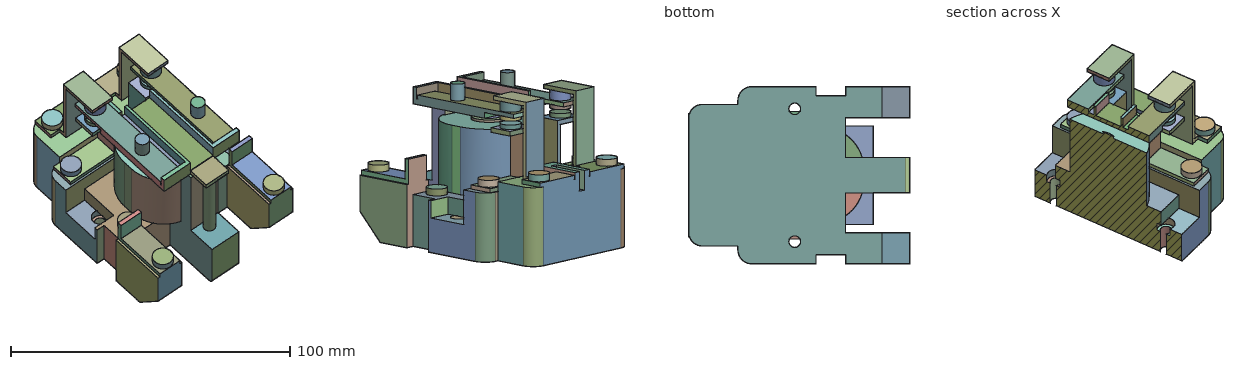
import cadquery as cq


LENGTH = 79.25
WIDTH = 63.5
HEIGHT = 58.67

CORNER_RADIUS = 5.08
FRONT_END_X = 17.6
FRONT_WIDTH = 50.8
FRONT_TOP = 28.95
SHELF_END_X = 28.4
SHELF_TOP = 25.4
DECK_TOP = 19.05
WIDE_END_X = 45.7
DECK_END_X = 56.2
DECK_WIDTH = 57.0
TAIL_WIDTH = 12.7
TAIL_BOTTOM_RADIUS = 1.6

RIB_WIDTH = 7.7
RIB_TOP = 31.5
SLOT_LENGTH = 13.9
SLOT_WIDTH = 2.6
SLOT_BOTTOM = 24.3

POCKET_END_X = 44.4
POCKET_INNER_Y = 22.85
POCKET_FLOOR = 12.7
HOLE_X = 38.0
HOLE_Y = 23.75
HOLE_RADIUS = 2.05
COUNTERBORE_RADIUS = 3.2
COUNTERBORE_DEPTH = 3.0

TERMINAL_INNER_Y = 20.5
TERMINAL_TOP = 23.2
TERMINAL_CHAMFER = 10.0
TERMINAL_PLATE_MARGIN = 0.9
TERMINAL_PLATE_THICKNESS = 1.7
TERMINAL_TAB_TOP = 32.35

SCREW_RADIUS = 3.81
SCREW_HEIGHT = 2.5
FRONT_SCREW_X = 4.55
FRONT_SCREW_Y = 17.75
SHELF_SCREW_Y = 24.6
DECK_SCREW_X = 50.95
DECK_SCREW_Y = 21.65
TERMINAL_SCREW_X = 75.3

COIL_X = 45.6
COIL_SIZE = 34.4
COIL_CORNER_RADIUS = 15.2
COIL_TOP = 43.9
WASHER_RADIUS = 6.45
WASHER_TOP = 44.8
CORE_RADIUS = 3.95
CORE_TOP = 45.95

CONTACT_X = 22.85
CONTACT_Y = 13.1
CONTACT_RADIUS = 3.85
STRIP_THICKNESS = 1.5

UPPER_PLATE_INNER_Y = 4.05
UPPER_PLATE_OUTER_Y = 22.05
UPPER_PLATE_LENGTH = 8.8
UPPER_STRIP_WIDTH = 9.45
UPPER_WALL_X = 10.75
UPPER_STRIP_END_X = 26.75
UPPER_BASE_TOP = 30.55
UPPER_TOP = 57.9

LOWER_WIDTH = 9.45
LOWER_INNER_Y = 6.6
LOWER_CAP_OUTER_Y = 18.35
LOWER_BASE_OUTER_Y = 28.8
LOWER_TOP = 46.2
LOWER_CAP_THICKNESS = 1.7
LOWER_CONTACT_HEIGHT = 1.65

ARMATURE_START_X = 31.2
ARMATURE_END_X = 66.2
ARMATURE_BOTTOM = 49.0
ARMATURE_FLOOR = 51.05
ARMATURE_WALL_TOP = 55.3
ARMATURE_END_WALL = 1.7
RIDGE_INNER_Y = 5.3
RIDGE_OUTER_Y = 6.4
TONGUE_END_X = 74.8
TONGUE_TOP = 50.75

ARM_START_X = 17.0
ARM_END_X = 64.1
ARM_WIDTH = 9.2
MOVING_CONTACT_BOTTOM = 49.3
MOVING_CONTACT_TOP = 54.45
PIN_X = 48.75
PIN_RADIUS = 2.6

POST_START_X = 61.3
POST_END_X = 67.6
PILLAR_X = 70.4
PILLAR_RADIUS = 2.3


def block(x_range, y_range, z_range):
    """Axis-aligned block between the given limits."""
    (x0, x1), (y0, y1), (z0, z1) = x_range, y_range, z_range
    return cq.Workplane("XY").box(x1 - x0, y1 - y0, z1 - z0, centered=False).translate((x0, y0, z0))


def centred_block(x_range, width, z_range):
    """Block of the given width, centred on y = 0."""
    return block(x_range, (-width / 2, width / 2), z_range)


def disc(x, y, radius, z_range):
    """Upright cylinder between two heights."""
    bottom, top = z_range
    return cq.Workplane("XY", origin=(x, y, bottom)).circle(radius).extrude(top - bottom)


def screw_head(x, y, seat):
    return disc(x, y, SCREW_RADIUS, (seat, seat + SCREW_HEIGHT))


def make_base():
    front = centred_block((0, FRONT_END_X), FRONT_WIDTH, (0, FRONT_TOP))
    front = front.edges("|Z and <X").fillet(CORNER_RADIUS)
    shelf = centred_block((FRONT_END_X, SHELF_END_X), WIDTH, (0, SHELF_TOP))
    shelf = shelf.edges("|Z and <X").fillet(CORNER_RADIUS)
    wide_deck = centred_block((SHELF_END_X, WIDE_END_X), WIDTH, (0, DECK_TOP))
    deck = centred_block((WIDE_END_X, DECK_END_X), DECK_WIDTH, (0, DECK_TOP))
    tail = centred_block((DECK_END_X, LENGTH), TAIL_WIDTH, (0, DECK_TOP))
    tail = tail.edges(">X and <Z").fillet(TAIL_BOTTOM_RADIUS)
    rib = centred_block((0, FRONT_END_X), RIB_WIDTH, (FRONT_TOP, RIB_TOP))
    slot = centred_block((0, SLOT_LENGTH), SLOT_WIDTH, (SLOT_BOTTOM, RIB_TOP))
    return front.union(shelf).union(wide_deck).union(deck).union(tail).union(rib).cut(slot)


def make_mounting_cut():
    """Pocket open to the +Y side, with a counterbored hole in its floor."""
    pocket = block((SHELF_END_X, POCKET_END_X), (POCKET_INNER_Y, WIDTH / 2), (POCKET_FLOOR, DECK_TOP))
    hole = disc(HOLE_X, HOLE_Y, HOLE_RADIUS, (0, POCKET_FLOOR))
    counterbore = disc(
        HOLE_X, HOLE_Y, COUNTERBORE_RADIUS, (POCKET_FLOOR - COUNTERBORE_DEPTH, POCKET_FLOOR)
    )
    return pocket.union(hole).union(counterbore)


def make_coil_terminal():
    x_range = (DECK_END_X, LENGTH)
    body = block(x_range, (TERMINAL_INNER_Y, WIDTH / 2), (0, TERMINAL_TOP))
    body = body.edges(">X and <Z").chamfer(TERMINAL_CHAMFER)

    plate_y = (TERMINAL_INNER_Y + TERMINAL_PLATE_MARGIN, WIDTH / 2 - TERMINAL_PLATE_MARGIN)
    plate_top = TERMINAL_TOP + TERMINAL_PLATE_THICKNESS
    plate = block(x_range, plate_y, (TERMINAL_TOP, plate_top))
    tab_x = (DECK_END_X, DECK_END_X + TERMINAL_PLATE_THICKNESS)
    tab = block(tab_x, plate_y, (TERMINAL_TOP, TERMINAL_TAB_TOP))
    screw = screw_head(TERMINAL_SCREW_X, (TERMINAL_INNER_Y + WIDTH / 2) / 2, plate_top)
    return body.union(plate).union(tab).union(screw)


def make_upper_contact():
    """Fixed contact on a strip rising from the front block and bent over rearward."""
    strip_y = (CONTACT_Y - UPPER_STRIP_WIDTH / 2, CONTACT_Y + UPPER_STRIP_WIDTH / 2)
    wall_end_x = UPPER_WALL_X + STRIP_THICKNESS
    arm_bottom = UPPER_TOP - STRIP_THICKNESS
    plate = block(
        (0, UPPER_PLATE_LENGTH), (UPPER_PLATE_INNER_Y, UPPER_PLATE_OUTER_Y), (FRONT_TOP, UPPER_BASE_TOP)
    )
    foot = block((UPPER_PLATE_LENGTH, wall_end_x), strip_y, (FRONT_TOP, UPPER_BASE_TOP))
    wall = block((UPPER_WALL_X, wall_end_x), strip_y, (FRONT_TOP, UPPER_TOP))
    arm = block((UPPER_WALL_X, UPPER_STRIP_END_X), strip_y, (arm_bottom, UPPER_TOP))
    contact = disc(CONTACT_X, CONTACT_Y, CONTACT_RADIUS, (MOVING_CONTACT_TOP, arm_bottom))
    screw = screw_head(FRONT_SCREW_X, FRONT_SCREW_Y, UPPER_BASE_TOP)
    return plate.union(foot).union(wall).union(arm).union(contact).union(screw)


def make_lower_contact():
    """Fixed contact on a C-shaped bracket standing on the shelf."""
    x_range = (CONTACT_X - LOWER_WIDTH / 2, CONTACT_X + LOWER_WIDTH / 2)
    base_top = SHELF_TOP + STRIP_THICKNESS
    base = block(x_range, (LOWER_INNER_Y, LOWER_BASE_OUTER_Y), (SHELF_TOP, base_top))
    wall = block(x_range, (LOWER_INNER_Y, LOWER_INNER_Y + STRIP_THICKNESS), (SHELF_TOP, LOWER_TOP))
    cap = block(x_range, (LOWER_INNER_Y, LOWER_CAP_OUTER_Y), (LOWER_TOP - LOWER_CAP_THICKNESS, LOWER_TOP))
    contact = disc(CONTACT_X, CONTACT_Y, CONTACT_RADIUS, (LOWER_TOP, LOWER_TOP + LOWER_CONTACT_HEIGHT))
    screw = screw_head(CONTACT_X, SHELF_SCREW_Y, base_top)
    return base.union(wall).union(cap).union(contact).union(screw)


def make_moving_arm():
    """Contact arm lying on the armature, with its double contact and its pin."""
    arm_y = (CONTACT_Y - ARM_WIDTH / 2, CONTACT_Y + ARM_WIDTH / 2)
    arm_top = ARMATURE_FLOOR + STRIP_THICKNESS
    arm = block((ARM_START_X, ARM_END_X), arm_y, (ARMATURE_FLOOR, arm_top))
    contact = disc(CONTACT_X, CONTACT_Y, CONTACT_RADIUS, (MOVING_CONTACT_BOTTOM, MOVING_CONTACT_TOP))
    pin = disc(PIN_X, CONTACT_Y, PIN_RADIUS, (arm_top, HEIGHT))
    return arm.union(contact).union(pin)


def make_armature_walls():
    """Lengthwise ridge and the end wall that closes the arm's channel."""
    outer_y = CONTACT_Y + ARM_WIDTH / 2
    z_range = (ARMATURE_FLOOR, ARMATURE_WALL_TOP)
    ridge = block((ARMATURE_START_X, ARMATURE_END_X), (RIDGE_INNER_Y, RIDGE_OUTER_Y), z_range)
    end_x = (ARMATURE_END_X - ARMATURE_END_WALL, ARMATURE_END_X)
    end_wall = block(end_x, (RIDGE_INNER_Y, outer_y), z_range)
    return ridge.union(end_wall)


def make_armature_plate():
    width = 2 * CONTACT_Y + ARM_WIDTH
    plate = centred_block((ARMATURE_START_X, ARMATURE_END_X), width, (ARMATURE_BOTTOM, ARMATURE_FLOOR))
    tongue = centred_block((ARMATURE_END_X, TONGUE_END_X), 2 * RIDGE_INNER_Y, (ARMATURE_BOTTOM, TONGUE_TOP))
    return plate.union(tongue)


def make_armature_support():
    post = centred_block((POST_START_X, POST_END_X), TAIL_WIDTH, (DECK_TOP, ARMATURE_BOTTOM))
    pillar = disc(PILLAR_X, 0, PILLAR_RADIUS, (DECK_TOP, ARMATURE_BOTTOM))
    return post.union(pillar)


def make_coil():
    half = COIL_SIZE / 2
    winding = centred_block((COIL_X - half, COIL_X + half), COIL_SIZE, (DECK_TOP, COIL_TOP))
    winding = winding.edges("|Z").fillet(COIL_CORNER_RADIUS)
    washer = disc(COIL_X, 0, WASHER_RADIUS, (COIL_TOP, WASHER_TOP))
    core = disc(COIL_X, 0, CORE_RADIUS, (WASHER_TOP, CORE_TOP))
    return winding.union(washer).union(core)


def mirrored(shape):
    """The shape's twin on the -Y side."""
    return shape.mirror("XZ")


mounting_cut = make_mounting_cut()
result = make_base().cut(mounting_cut).cut(mirrored(mounting_cut))

for centre_piece in (make_coil(), make_armature_support(), make_armature_plate()):
    result = result.union(centre_piece)

side_pieces = (
    make_coil_terminal(),
    screw_head(DECK_SCREW_X, DECK_SCREW_Y, DECK_TOP),
    make_lower_contact(),
    make_armature_walls(),
    make_moving_arm(),
    make_upper_contact(),
)
for side_piece in side_pieces:
    result = result.union(side_piece).union(mirrored(side_piece))